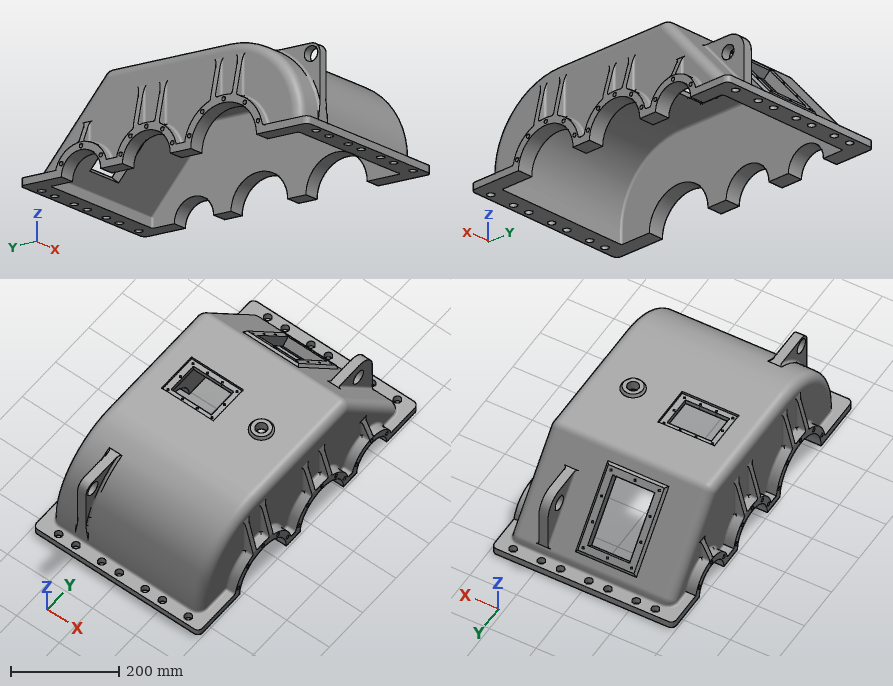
import cadquery as cq
import math

length = 660.0
width = 390.0
flange_height = 15.0
flange_corner = 11.0
bolt_radius = 8.0
bolt_row_y = 314.0
first_bolt_x = -147.0
bolt_gaps = (41.0, 61.0, 41.0, 61.0, 41.0, 61.0)

hood_width = 350.0
hood_height = 200.0
front_radius = 170.0
front_arc_y = -129.0
rear_y = 299.5
knee_y = 148.0
slope_angle = 48.8
hood_edge_radius = 20.0
wall = 15.0
root_fillet = 4.95

face_x = width / 2
wall_x = hood_width / 2
seat_depth = 39.5
rim = 15.0
seat_screw_radius = 4.0
seat_screw_depth = 15.0
three_screws = (30, 90, 150)
five_screws = (18, 54, 90, 126, 162)
rear_seat_y = 189.5
middle_seat_y = 39.5
front_seat_y = -137.0

rib_width = 10.5
rib_base_ratio = 0.85
web_fillet = 4.95
rear_rib_top = 103.5
middle_rib_top = 150.0
front_rib_top = 170.0
rib_pitch = 49.5
rib_pair = (-rib_pitch / 2, rib_pitch / 2)

seats = [
    (-1, rear_seat_y, 45.0, three_screws, (0,), rear_rib_top),
    (-1, middle_seat_y, 55.0, five_screws, rib_pair, middle_rib_top),
    (-1, front_seat_y, 75.0, five_screws, rib_pair, front_rib_top),
    (1, rear_seat_y, 45.0, three_screws, (0,), rear_rib_top),
    (1, middle_seat_y, 65.0, five_screws, rib_pair, middle_rib_top),
    (1, front_seat_y, 70.0, five_screws, rib_pair, front_rib_top),
]

lug_width = 20.0
lug_x = 104.0
lug_hole_radius = 15.0
rear_lug_y = 294.5
rear_lug_top = 150.0
rear_lug_corner = 39.5
rear_lug_hole = (253.0, 115.5)
front_lug_top = 185.5
front_lug_corner = 20.0
front_lug_hole = (-278.5, 165.0)

window_x = -59.5
window_y = 6.0
window_size = (94.5, 66.5)
window_recess_size = (121.5, 90.0)
window_recess_depth = 5.0
window_screw_span = (103.5, 75.0)
cover_screw_radius = 2.0
cover_screw_depth = 8.0

pad_x = -24.5
pad_y = 226.0
pad_size = (120.0, 170.0)
pad_height = 5.0
pad_opening = (90.0, 140.0)
pad_screw_span = (103.5, 154.5)

vent_x = 84.0
vent_radius = 20.5
vent_hole_radius = 12.0
vent_height = 6.0
vent_flare = 4.0

slope = math.radians(slope_angle)
front_y = front_arc_y - front_radius
front_arc_z = hood_height - front_radius
heel_z = hood_height - (rear_y - knee_y) * math.tan(slope)
seat_mid_x = (wall_x + face_x) / 2

wide = 2 * length
slack = 0.05


def box(x0, x1, y0, y1, z0, z1):
    """Axis-aligned block between two corners."""
    return cq.Workplane("XY").box(x1 - x0, y1 - y0, z1 - z0, centered=False).translate((x0, y0, z0))


def box_selector(x0, x1, y0, y1, z0, z1):
    """Selector for edges centred within a block, grown slightly to include its surface."""
    low = (x0 - slack, y0 - slack, z0 - slack)
    high = (x1 + slack, y1 + slack, z1 + slack)
    return cq.selectors.BoxSelector(low, high)


def x_cylinder(radius, x0, x1, y, z=0.0):
    """Cylinder running along X from x0 to x1."""
    return cq.Workplane("YZ", origin=(x0, 0, 0)).center(y, z).circle(radius).extrude(x1 - x0)


def hood_block(inset):
    """Solid hood with every outer face moved inwards by inset."""
    radius = front_radius - inset
    knee = (knee_y - inset * math.tan(slope / 2), hood_height - inset)
    heel = (rear_y - inset, heel_z - inset * math.tan((math.pi / 2 - slope) / 2))
    diagonal = radius * math.sqrt(0.5)
    half = wall_x - inset
    block = (
        cq.Workplane("YZ", origin=(-half, 0, 0))
        .moveTo(front_y + inset, 0)
        .lineTo(front_y + inset, front_arc_z)
        .threePointArc((front_arc_y - diagonal, front_arc_z + diagonal), (front_arc_y, hood_height - inset))
        .lineTo(*knee)
        .lineTo(*heel)
        .lineTo(heel[0], 0)
        .close()
        .extrude(2 * half)
    )
    edge_radius = hood_edge_radius - inset
    for y, z in (knee, heel):
        block = block.edges(cq.selectors.NearestToPointSelector((0, y, z))).fillet(edge_radius)
    return block.faces("<X or >X").edges("not(<Z)").fillet(edge_radius)


def make_shell():
    """Flange, hood and bearing bosses, with one fillet round the roots."""
    body = cq.Workplane("XY").box(width, length, flange_height, centered=(True, True, False))
    body = body.edges("|Z").fillet(flange_corner)
    body = body.union(hood_block(0))
    for side, y, bore, _, _, _ in seats:
        boss = x_cylinder(bore + rim, 0, side * face_x, y)
        body = body.union(boss.intersect(box(-wide, wide, -wide, wide, 0, wide)))
    flange_roots = [
        (-wall_x, wall_x, front_y, rear_y),
        (wall_x, seat_mid_x, front_y, rear_seat_y),
        (-seat_mid_x, -wall_x, front_y, front_seat_y),
    ]
    edges = []
    for extent in flange_roots:
        edges += body.edges(box_selector(*extent, flange_height, flange_height)).vals()
    for x in (-wall_x, wall_x):
        arc_selector = box_selector(x, x, front_y, rear_y, flange_height, hood_height / 2)
        edges += body.edges(arc_selector).edges("%CIRCLE").vals()
    return body.newObject(edges).fillet(root_fillet)


def web_section(plane, thickness, reach):
    """Web along local Y, flaring into the line y = 0 with a concave fillet on each side."""
    half = thickness / 2
    bulge = web_fillet * (1 - math.sqrt(0.5))
    return (
        plane.moveTo(-half - web_fillet, -wall / 2)
        .lineTo(-half - web_fillet, 0)
        .threePointArc((-half - bulge, bulge), (-half, web_fillet))
        .lineTo(-half, reach)
        .lineTo(half, reach)
        .lineTo(half, web_fillet)
        .threePointArc((half + bulge, bulge), (half + web_fillet, 0))
        .lineTo(half + web_fillet, -wall / 2)
        .close()
    )


def rib_foot(seat_y, offset, boss_radius, sign):
    """Fillet bar, along X, between one side of a rib and the boss below it."""
    side_y = offset + sign * rib_width / 2
    centre_radius = boss_radius + web_fillet
    tilt = math.asin((side_y + sign * web_fillet) / centre_radius)
    centre_y = centre_radius * math.sin(tilt)
    centre_z = centre_radius * math.cos(tilt)
    rib_contact = -sign * math.pi / 2
    boss_contact = tilt - sign * math.pi
    middle = (rib_contact + boss_contact) / 2
    mid_point = (centre_y + web_fillet * math.sin(middle), centre_z + web_fillet * math.cos(middle))
    boss_point = (boss_radius * math.sin(tilt), boss_radius * math.cos(tilt))
    inside_rib_y = side_y - sign * rib_width / 4
    inside_boss_z = boss_point[1] - web_fillet
    foot = (
        cq.Workplane("YZ", origin=(-face_x, seat_y, 0))
        .moveTo(side_y, centre_z)
        .threePointArc(mid_point, boss_point)
        .lineTo(boss_point[0], inside_boss_z)
        .lineTo(inside_rib_y, inside_boss_z)
        .lineTo(inside_rib_y, centre_z)
        .close()
    )
    return foot.extrude(width)


def make_rib(side, seat_y, offset, boss_radius, top_z):
    """Tapered rib rising from the boss to its tip on the hood wall."""
    plane = cq.Plane(origin=(side * wall_x, seat_y + offset, 0), xDir=(0, -side, 0), normal=(0, 0, 1))
    web = web_section(cq.Workplane(plane), rib_width, face_x - wall_x).extrude(top_z)
    for sign in (-1, 1):
        web = web.union(rib_foot(seat_y, offset, boss_radius, sign))
    inner_x = wall_x - wall / 2
    base_z = rib_base_ratio * boss_radius
    profile = (
        cq.Workplane("XZ", origin=(0, wide / 2, 0))
        .polyline([
            (side * inner_x, base_z),
            (side * face_x, base_z),
            (side * face_x, boss_radius),
            (side * wall_x, top_z),
            (side * inner_x, top_z),
        ])
        .close()
        .extrude(wide)
    )
    return web.intersect(profile)


def make_front_lug():
    """Lug whose root follows the rounded front of the hood."""
    outline = box(-wide, wide, front_y, front_arc_y, front_arc_z, front_lug_top)
    outline = outline.edges("|X and <Y and >Z").fillet(front_lug_corner)
    plane = cq.Plane(origin=(-lug_x, front_arc_y, hood_height), xDir=(1, 0, 0), normal=(0, -1, 0))
    web = web_section(cq.Workplane(plane), lug_width, front_radius)
    web = web.revolve(90, (-6.5, -front_radius, 0), (6.5, -front_radius, 0))
    hole = x_cylinder(lug_hole_radius, -wide, wide, *front_lug_hole)
    return web.intersect(outline).cut(hole)


def slope_plane(x, y):
    """Plane on the rear slope: local X along X, local Y up the slope, normal outwards."""
    z = hood_height - (y - knee_y) * math.tan(slope)
    return cq.Plane(origin=(x, y, z), xDir=(-1, 0, 0), normal=(0, math.sin(slope), math.cos(slope)))


def make_rear_lug():
    """Lug whose root follows the rear slope of the hood."""
    outline = box(-wide, wide, knee_y, rear_lug_y, flange_height, rear_lug_top)
    outline = outline.edges("|X and >Y and >Z").fillet(rear_lug_corner)
    down_slope = (0, math.cos(slope), -math.sin(slope))
    plane = cq.Plane(origin=(lug_x, knee_y, hood_height), xDir=(-1, 0, 0), normal=down_slope)
    web = web_section(cq.Workplane(plane), lug_width, front_radius).extrude(length / 2)
    hole = x_cylinder(lug_hole_radius, -wide, wide, *rear_lug_hole)
    return web.intersect(outline).cut(hole)


def frame_points(span, columns, rows):
    """Evenly spaced points round the edge of a rectangle."""
    return [
        (span[0] * (i / (columns - 1) - 0.5), span[1] * (j / (rows - 1) - 0.5))
        for i in range(columns)
        for j in range(rows)
        if i in (0, columns - 1) or j in (0, rows - 1)
    ]


def make_pad():
    """Raised pad on the slope, flaring at its foot."""
    foot = tuple(size + 2 * pad_height for size in pad_size)
    plane = cq.Workplane(slope_plane(pad_x, pad_y))
    return plane.rect(*foot).workplane(offset=pad_height).rect(*pad_size).loft()


def make_vent():
    """Vent boss on the flat top, flaring at its foot."""
    plane = cq.Workplane("XY", origin=(vent_x, 0, hood_height))
    return plane.circle(vent_radius + vent_flare).workplane(offset=vent_height).circle(vent_radius).loft()


def seat_cutters():
    """Bearing bores and the screw holes in their faces."""
    cutters = []
    for side, y, bore, angles, _, _ in seats:
        face = side * face_x
        cutters.append(x_cylinder(bore, face, face - side * seat_depth, y))
        screw_circle = bore + rim / 2
        for angle in map(math.radians, angles):
            hole_y = y + screw_circle * math.cos(angle)
            hole_z = screw_circle * math.sin(angle)
            end = face - side * seat_screw_depth
            cutters.append(x_cylinder(seat_screw_radius, face, end, hole_y, hole_z))
    return cutters


def bolt_cutters():
    """Bolt holes through the flange along both ends."""
    xs = [first_bolt_x + sum(bolt_gaps[:i]) for i in range(len(bolt_gaps) + 1)]
    points = [(x, side * bolt_row_y) for x in xs for side in (-1, 1)]
    return [cq.Workplane("XY").pushPoints(points).circle(bolt_radius).extrude(flange_height)]


def window_cutters(face, opening, screw_span, columns, rows):
    """Opening through the wall below face, with blind cover screws round it."""
    through = face.rect(*opening).extrude(-2 * wall)
    points = frame_points(screw_span, columns, rows)
    screws = face.pushPoints(points).circle(cover_screw_radius).extrude(-cover_screw_depth)
    return [through, screws]


def top_window_cutters():
    """Recess, opening and screws of the window in the flat top."""
    top = cq.Workplane("XY", origin=(window_x, window_y, hood_height))
    recess = top.rect(*window_recess_size).extrude(-window_recess_depth)
    seat = top.workplane(offset=-window_recess_depth)
    return [recess] + window_cutters(seat, window_size, window_screw_span, 4, 3)


def rear_window_cutters():
    """Opening and screws of the window in the raised pad."""
    pad_face = cq.Workplane(slope_plane(pad_x, pad_y)).workplane(offset=pad_height)
    return window_cutters(pad_face, pad_opening, pad_screw_span, 3, 4)


def vent_cutters():
    """Hole through the vent boss and the wall below it."""
    boss_top = cq.Workplane("XY", origin=(vent_x, 0, hood_height + vent_height))
    return [boss_top.circle(vent_hole_radius).extrude(-2 * wall)]


additions = [make_front_lug(), make_rear_lug(), make_pad(), make_vent()]
for side, y, bore, _, rib_offsets, rib_top in seats:
    additions += [make_rib(side, y, offset, bore + rim, rib_top) for offset in rib_offsets]

cutters = [hood_block(wall)] + seat_cutters() + bolt_cutters()
cutters += top_window_cutters() + rear_window_cutters() + vent_cutters()

result = make_shell()
for addition in additions:
    result = result.union(addition)
cut_shapes = [shape for cutter in cutters for shape in cutter.vals()]
result = cq.Workplane(result.val().cut(*cut_shapes)).solids()